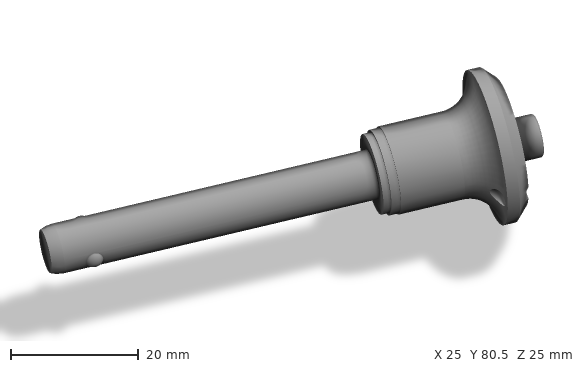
import cadquery as cq
import math


overall_length = 80.5
button_diameter = 7.0
button_height = 4.7
button_edge_radius = 0.5

flange_diameter = 25.0
flange_bevel = 2.0
flange_rim_width = 2.0
body_diameter = 14.2
body_length = 10.4
upper_collar_diameter = 13.8
upper_collar_length = 1.5
lower_collar_diameter = 13.0
lower_collar_length = 1.2

shank_diameter = 8.0
tip_diameter = 7.0
tip_length = 2.0

ball_diameter = 3.2
ball_span = 9.6
ball_distance_from_tip = 6.9

lanyard_hole_diameter = 3.0
lanyard_hole_offset = 10.0

flange_radius = flange_diameter / 2
body_radius = body_diameter / 2
flare_radius = flange_radius - body_radius
rim_top = -flange_bevel
rim_bottom = rim_top - flange_rim_width
flare_end = rim_bottom - flare_radius
body_end = flare_end - body_length
upper_collar_end = body_end - upper_collar_length
handle_end = upper_collar_end - lower_collar_length
pin_end = button_height - overall_length


def make_handle():
    """Revolve the handle half-section, with a quarter-circle flare under the flange rim."""
    flare_drop = flare_radius * math.sin(math.pi / 4)
    flare_middle = (flange_radius - flare_drop, flare_end + flare_drop)
    return (
        cq.Workplane("XY")
        .lineTo(flange_radius - flange_bevel, 0)
        .lineTo(flange_radius, rim_top)
        .lineTo(flange_radius, rim_bottom)
        .threePointArc(flare_middle, (body_radius, flare_end))
        .lineTo(body_radius, body_end)
        .lineTo(upper_collar_diameter / 2, body_end)
        .lineTo(upper_collar_diameter / 2, upper_collar_end)
        .lineTo(lower_collar_diameter / 2, upper_collar_end)
        .lineTo(lower_collar_diameter / 2, handle_end)
        .lineTo(0, handle_end)
        .close()
        .revolve(360, (0, 0, 0), (0, 1, 0))
    )


def make_core():
    """Revolve the push button and the shank as one spindle through the handle."""
    return (
        cq.Workplane("XY")
        .moveTo(0, button_height)
        .lineTo(button_diameter / 2 - button_edge_radius, button_height)
        .tangentArcPoint((button_diameter / 2, button_height - button_edge_radius), relative=False)
        .lineTo(button_diameter / 2, handle_end)
        .lineTo(shank_diameter / 2, handle_end)
        .lineTo(shank_diameter / 2, pin_end + tip_length)
        .tangentArcPoint((tip_diameter / 2, pin_end), relative=False)
        .lineTo(0, pin_end)
        .close()
        .revolve(360, (0, 0, 0), (0, 1, 0))
    )


def make_ball(side):
    """Make a locking ball protruding from the shank on the given X side (+1 or -1)."""
    ball_radius = ball_diameter / 2
    ball_x = side * (ball_span / 2 - ball_radius)
    ball_y = pin_end + ball_distance_from_tip
    return cq.Workplane("XY").sphere(ball_radius).translate((ball_x, ball_y, 0))


def make_lanyard_hole():
    """Make the cutter for the hole running along Y from the flange face past the flare."""
    return (
        cq.Workplane("XZ")
        .center(lanyard_hole_offset, 0)
        .circle(lanyard_hole_diameter / 2)
        .extrude(-flare_end)
    )


result = make_handle().union(make_core())
for side in (-1, 1):
    result = result.union(make_ball(side))
result = result.cut(make_lanyard_hole())